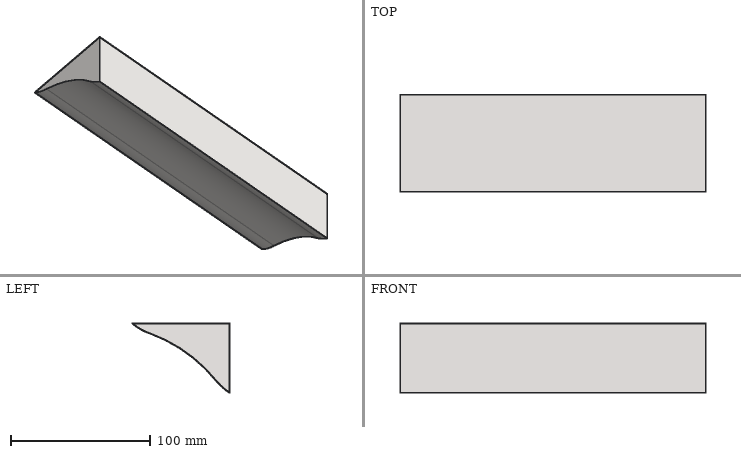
import cadquery as cq

length = 220.0
depth = 70.0
height = 50.0

top_tip = (depth, 0)
bottom_tip = (0, -height)

upper_flare_middle = (63.8, -4.5)
upper_flare_end = (57.2, -7.3)
cove_middle = (32.5, -20.0)
lower_flare_start = (9.5, -41.5)
lower_flare_middle = (4.6, -46.5)

section = (
    cq.Workplane("YZ")
    .lineTo(*top_tip)
    .threePointArc(upper_flare_middle, upper_flare_end)
    .threePointArc(cove_middle, lower_flare_start)
    .threePointArc(lower_flare_middle, bottom_tip)
    .close()
)

result = section.extrude(length)